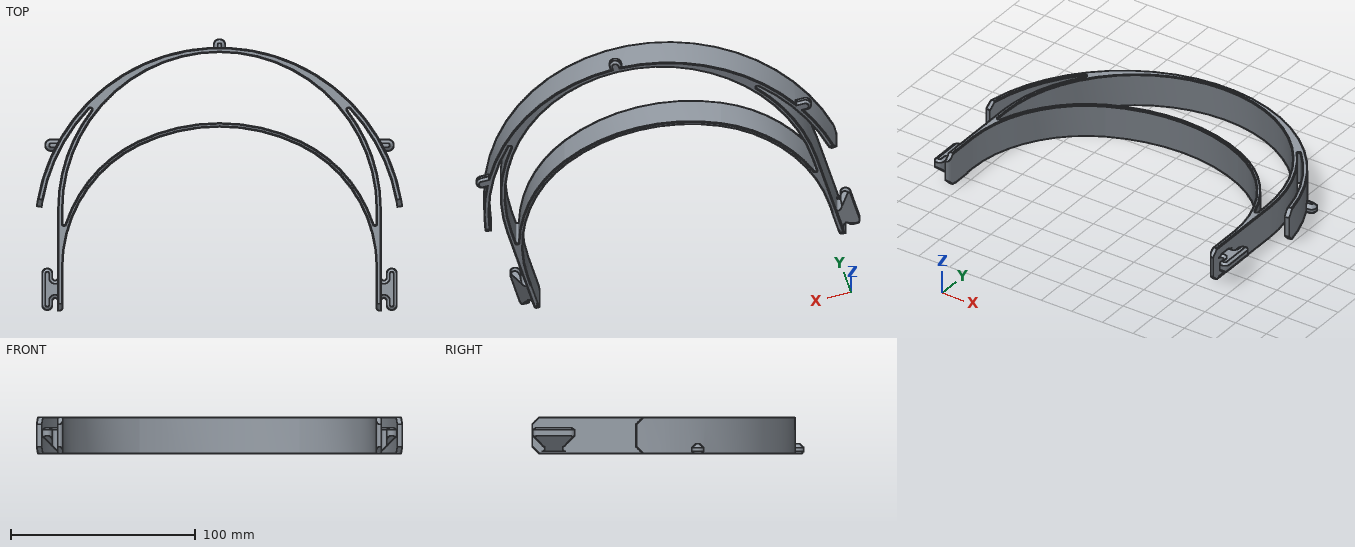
import cadquery as cq
import math

band_height = 20.0
half_width = 99.0
arm_end_y = -55.0
edge_chamfer = 0.5
end_corner_chamfer = 4.0
end_cutter_reach = 8.0

arm_inner_radius = 84.9
arm_thickness = 2.5
arm_outer_radius = arm_inner_radius + arm_thickness
arm_end_rounding = 2.0

visor_outer_radius = 100.0
visor_thickness = 2.8
visor_inner_radius = visor_outer_radius - visor_thickness
visor_center_y = arm_outer_radius - visor_outer_radius
visor_end_angle = math.acos(half_width / visor_outer_radius)
visor_slot_radius = 0.8

forehead_crown_y = 44.5
forehead_thickness = 2.2
forehead_middle_radius = 100.0
forehead_side_radius = 73.5
forehead_slot_radius = 0.8
side_center_x = arm_inner_radius - forehead_side_radius
middle_center_y = forehead_crown_y - forehead_middle_radius
joint_angle = math.acos(side_center_x / (forehead_middle_radius - forehead_side_radius))
side_center_y = middle_center_y + side_center_x * math.tan(joint_angle)

peg_radius = 3.2
peg_run = 8.0
peg_height = 5.5
peg_bottom_bevel = 1.4
peg_top_bevel = 2.2
crown_peg_y = 88.8
side_peg_x = 91.2
side_peg_y = 34.6

hook_outer_x = 96.0
hook_bar_width = 5.5
hook_length = 22.5
hook_neck_width = 9.5
hook_center_y = -43.3
hook_top_z = 14.2
hook_wall_bottom_z = 9.9
hook_bevel_height = 1.2
hook_bevel_width = 1.8


def polar(center, radius, angle):
    """Point on a circle, with the angle in radians from +X."""
    return (center[0] + radius * math.cos(angle), center[1] + radius * math.sin(angle))


def angle_to(center, point):
    return math.atan2(point[1] - center[1], point[0] - center[0])


def add_arc(sketch, center, radius, start_angle, end_angle):
    """Continue an outline along a circle from start_angle to end_angle."""
    middle = polar(center, radius, (start_angle + end_angle) / 2)
    return sketch.threePointArc(middle, polar(center, radius, end_angle))


def make_half_band():
    """The +X half of the visor, arm and forehead bands as one closed outline."""
    crown_angle = math.pi / 2
    arm_center = (0, 0)
    visor_center = (0, visor_center_y)
    middle_center = (0, middle_center_y)
    side_center = (side_center_x, side_center_y)

    to_visor = visor_inner_radius - visor_slot_radius
    to_arm = arm_outer_radius + visor_slot_radius
    slot_y = (to_visor**2 - to_arm**2 - visor_center_y**2) / (-2 * visor_center_y)
    slot_center = (math.sqrt(to_arm**2 - slot_y**2), slot_y)
    slot_visor_angle = angle_to(visor_center, slot_center)
    slot_arm_angle = angle_to(arm_center, slot_center)

    side_outer_radius = forehead_side_radius + forehead_thickness
    middle_outer_radius = forehead_middle_radius + forehead_thickness
    gap_x = arm_inner_radius - forehead_slot_radius
    to_side = side_outer_radius + forehead_slot_radius
    gap_y = side_center_y + math.sqrt(to_side**2 - (gap_x - side_center_x) ** 2)
    gap_center = (gap_x, gap_y)
    gap_side_angle = angle_to(side_center, gap_center)

    rounding_center = (arm_inner_radius + arm_end_rounding, arm_end_y + arm_end_rounding)

    outline = cq.Workplane("XY").moveTo(0, arm_outer_radius)
    outline = add_arc(outline, visor_center, visor_outer_radius, crown_angle, visor_end_angle)
    outline = outline.lineTo(*polar(visor_center, visor_inner_radius, visor_end_angle))
    outline = add_arc(outline, visor_center, visor_inner_radius, visor_end_angle, slot_visor_angle)
    outline = add_arc(outline, slot_center, visor_slot_radius, slot_visor_angle, slot_arm_angle + math.pi)
    outline = add_arc(outline, arm_center, arm_outer_radius, slot_arm_angle, 0)
    outline = outline.lineTo(arm_outer_radius, arm_end_y)
    outline = outline.lineTo(rounding_center[0], arm_end_y)
    outline = add_arc(outline, rounding_center, arm_end_rounding, -math.pi / 2, -math.pi)
    outline = outline.lineTo(arm_inner_radius, side_center_y)
    outline = add_arc(outline, side_center, forehead_side_radius, 0, joint_angle)
    outline = add_arc(outline, middle_center, forehead_middle_radius, joint_angle, crown_angle)
    outline = outline.lineTo(0, forehead_crown_y + forehead_thickness)
    outline = add_arc(outline, middle_center, middle_outer_radius, crown_angle, joint_angle)
    outline = add_arc(outline, side_center, side_outer_radius, joint_angle, gap_side_angle)
    outline = add_arc(outline, gap_center, forehead_slot_radius, gap_side_angle - math.pi, 0)
    outline = outline.lineTo(arm_inner_radius, 0)
    outline = add_arc(outline, arm_center, arm_inner_radius, 0, crown_angle)
    return outline.close().extrude(band_height)


def make_end_corner_cutters(tip_x, tip_y, angle):
    """Prisms that bevel both corners of a free end, which points along -Y turned by angle in radians."""
    size = end_corner_chamfer
    plane = cq.Plane(origin=(tip_x, tip_y, 0), xDir=(0, 1, 0), normal=(1, 0, 0))
    lower = [(-size, 0), (size, 0), (0, size), (-size, size)]
    upper = [(y, band_height - z) for y, z in lower]
    cutters = cq.Workplane(plane).polyline(lower).close().extrude(end_cutter_reach, both=True)
    cutters = cutters.union(cq.Workplane(plane).polyline(upper).close().extrude(end_cutter_reach, both=True))
    return cutters.rotate((tip_x, tip_y, 0), (tip_x, tip_y, 1), math.degrees(angle))


def mirrored(half):
    """A +X half joined with its mirror image."""
    return half.union(half.mirror("YZ"))


def make_bands():
    bands = mirrored(make_half_band()).clean()
    bands = bands.faces(">Z or <Z").edges().chamfer(edge_chamfer)
    visor_tip = polar((0, visor_center_y), visor_outer_radius, visor_end_angle)
    cutters = make_end_corner_cutters(*visor_tip, visor_end_angle)
    cutters = cutters.union(make_end_corner_cutters(arm_outer_radius, arm_end_y, 0))
    return bands.cut(mirrored(cutters))


def make_peg(tip_center, outward_angle):
    """Round-ended pin standing out of the visor, with its round end centred on tip_center."""
    root_center = polar(tip_center, peg_run, outward_angle + math.pi)
    peg = cq.Workplane("XY").slot2D(peg_run + 2 * peg_radius, 2 * peg_radius).extrude(peg_height)
    peg = peg.faces(">Z").chamfer(peg_top_bevel).faces("<Z").chamfer(peg_bottom_bevel)
    peg = peg.rotate((0, 0, 0), (0, 0, 1), math.degrees(outward_angle))
    peg = peg.translate(((root_center[0] + tip_center[0]) / 2, (root_center[1] + tip_center[1]) / 2, 0))
    visor_middle_radius = visor_outer_radius - visor_thickness / 2
    inside = cq.Workplane("XY").center(0, visor_center_y).circle(visor_middle_radius).extrude(peg_height)
    return peg.cut(inside)


def make_hook():
    """Strap hook on the +X leg, with undersides sloping at 45 degrees down to the leg."""
    root_x = arm_inner_radius
    wall_top_z = hook_top_z - hook_bevel_height
    notch_width = hook_outer_x - hook_bar_width - arm_outer_radius
    notch_radius = notch_width / 2
    notch_depth = (hook_length - hook_neck_width) / 2
    bar_center_x = hook_outer_x - hook_bar_width / 2
    notch_center_x = arm_outer_radius + notch_radius

    bar = cq.Workplane("XY").center(bar_center_x, hook_center_y)
    bar = bar.slot2D(hook_length, hook_bar_width, 90).extrude(wall_top_z)
    neck_length = bar_center_x - root_x
    neck = cq.Workplane("XY").center(root_x + neck_length / 2, hook_center_y)
    neck = neck.rect(neck_length, hook_neck_width + notch_width).extrude(wall_top_z)
    hook = bar.union(neck)
    for side in (-1, 1):
        notch = cq.Workplane("XY").center(notch_center_x, hook_center_y + side * hook_length / 2)
        hook = hook.cut(notch.slot2D(2 * notch_depth, notch_width, 90).extrude(wall_top_z))
    bevel_taper = math.degrees(math.atan(hook_bevel_width / hook_bevel_height))
    bevel = hook.faces(">Z").wires().toPending().extrude(hook_bevel_height, combine=False, taper=bevel_taper)
    hook = hook.union(bevel)

    half_length = hook_length / 2
    wall_bottom_x = hook_outer_x - hook_wall_bottom_z
    side_limit = [
        (wall_bottom_x, 0),
        (hook_outer_x, hook_wall_bottom_z),
        (hook_outer_x, hook_top_z),
        (root_x, hook_top_z),
        (root_x, 0),
    ]
    half_neck = hook_neck_width / 2 + notch_radius
    neck_bottom_z = hook_wall_bottom_z - half_length + half_neck
    end_limit = [
        (-half_neck, 0),
        (half_neck, 0),
        (half_neck, neck_bottom_z),
        (half_length, hook_wall_bottom_z),
        (half_length, hook_top_z),
        (-half_length, hook_top_z),
        (-half_length, hook_wall_bottom_z),
        (-half_neck, neck_bottom_z),
    ]
    hook = hook.intersect(cq.Workplane("XZ").polyline(side_limit).close().extrude(half_width, both=True))
    end_plane = cq.Workplane("YZ").center(hook_center_y, 0)
    return hook.intersect(end_plane.polyline(end_limit).close().extrude(half_width))


crown_peg = make_peg((0, crown_peg_y), math.pi / 2)
side_peg = make_peg((side_peg_x, side_peg_y), 0)
result = make_bands().union(mirrored(make_hook())).union(crown_peg).union(mirrored(side_peg))